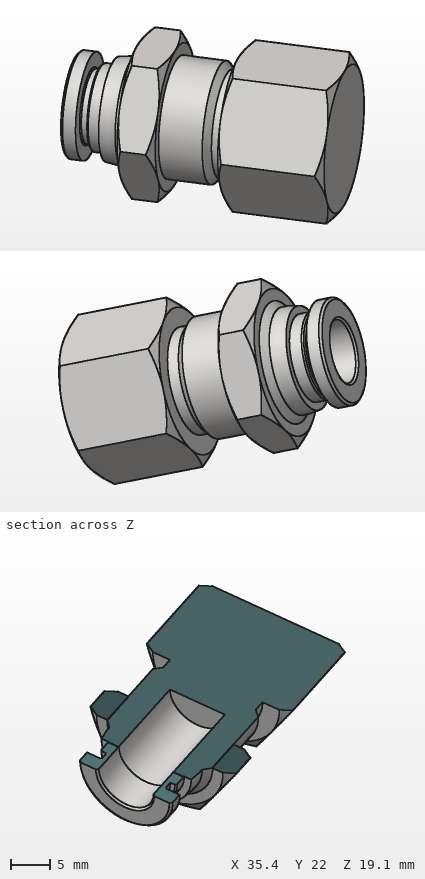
import cadquery as cq
import math

TOTAL_LENGTH = 35.4
HEX_ACROSS_FLATS = 19.05
HEX_CHAMFER_ANGLE = 30.0

FLANGE_DIAMETER = 14.0
FLANGE_END = 2.02
FLANGE_CHAMFER = 0.32
NECK_DIAMETER = 9.7
NECK_CHAMFER = 0.18
BORE_DIAMETER = 8.2
BORE_CHAMFER = 0.3
COLLAR_START = 3.1
COLLAR_DIAMETER = 11.45
COLLAR_CHAMFER = 0.2
SLEEVE_LENGTH = 5.0

BORE_DEPTH = 17.0
SHOULDER_FRONT_DIAMETER = 13.52
SHOULDER_DIAMETER = 14.0
SHOULDER_TAPER_END = 6.6
THREAD_START = 7.22
THREAD_END = 19.9
THREAD_DIAMETER = 15.9
THREAD_CHAMFER = (THREAD_DIAMETER - SHOULDER_DIAMETER) / 2
BODY_HEX_START = 21.4

NUT_START = 8.18
NUT_END = 13.2


def revolve_profile(points):
    """Revolve a closed profile of (x, radius) points around the X axis."""
    return cq.Workplane("XY").polyline(points).close().revolve(360, (0, 0, 0), (1, 0, 0))


def cylinder_x(start, end, diameter):
    """Solid cylinder along the X axis."""
    return cq.Workplane("YZ", origin=(start, 0, 0)).circle(diameter / 2).extrude(end - start)


def chamfered_hex(start, end):
    """Hexagonal prism along X, flats up and down, with its corners turned off at both ends."""
    corner_radius = HEX_ACROSS_FLATS / 2 / math.cos(math.radians(30))
    flat_radius = HEX_ACROSS_FLATS / 2
    chamfer_length = (corner_radius - flat_radius) * math.tan(math.radians(HEX_CHAMFER_ANGLE))
    prism = (
        cq.Workplane("YZ", origin=(start, 0, 0))
        .polygon(6, 2 * corner_radius)
        .extrude(end - start)
    )
    turned_blank = revolve_profile([
        (start, 0),
        (start, flat_radius),
        (start + chamfer_length, corner_radius),
        (end - chamfer_length, corner_radius),
        (end, flat_radius),
        (end, 0),
    ])
    return prism.intersect(turned_blank)


def make_sleeve():
    """Flanged tube with a neck and a collar that seats against the body's front face."""
    flange_radius = FLANGE_DIAMETER / 2
    neck_radius = NECK_DIAMETER / 2
    collar_radius = COLLAR_DIAMETER / 2
    bore_radius = BORE_DIAMETER / 2
    return revolve_profile([
        (0, bore_radius + BORE_CHAMFER),
        (0, flange_radius - FLANGE_CHAMFER),
        (FLANGE_CHAMFER, flange_radius),
        (FLANGE_END, flange_radius),
        (FLANGE_END, neck_radius + NECK_CHAMFER),
        (FLANGE_END + NECK_CHAMFER, neck_radius),
        (COLLAR_START, neck_radius),
        (COLLAR_START, collar_radius - COLLAR_CHAMFER),
        (COLLAR_START + COLLAR_CHAMFER, collar_radius),
        (SLEEVE_LENGTH, collar_radius),
        (SLEEVE_LENGTH, bore_radius),
        (BORE_CHAMFER, bore_radius),
    ])


def make_body():
    """Stepped, threaded barrel with a hexagonal end and a blind bore that continues the sleeve's."""
    shoulder_radius = SHOULDER_DIAMETER / 2
    thread_radius = THREAD_DIAMETER / 2
    barrel = revolve_profile([
        (SLEEVE_LENGTH, 0),
        (SLEEVE_LENGTH, SHOULDER_FRONT_DIAMETER / 2),
        (SHOULDER_TAPER_END, shoulder_radius),
        (THREAD_START, shoulder_radius),
        (THREAD_START + THREAD_CHAMFER, thread_radius),
        (THREAD_END - THREAD_CHAMFER, thread_radius),
        (THREAD_END, shoulder_radius),
        (BODY_HEX_START, shoulder_radius),
        (BODY_HEX_START, 0),
    ])
    bore = cylinder_x(SLEEVE_LENGTH, BORE_DEPTH, BORE_DIAMETER)
    return barrel.union(chamfered_hex(BODY_HEX_START, TOTAL_LENGTH)).cut(bore)


def make_nut():
    """Hexagonal lock nut around the thread."""
    thread_hole = cylinder_x(NUT_START, NUT_END, THREAD_DIAMETER)
    return chamfered_hex(NUT_START, NUT_END).cut(thread_hole)


sleeve = make_sleeve()
body = make_body()
nut = make_nut()

result = cq.Compound.makeCompound([sleeve.val(), body.val(), nut.val()])